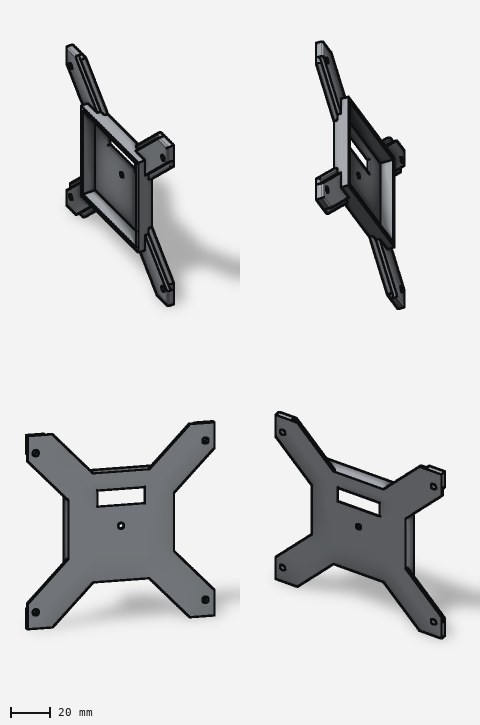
import cadquery as cq

span_x = 99.1
span_z = 99.2
depth = 8.0
arm_depth = depth / 2
flange_depth = arm_depth / 2
edge_radius = 1.0
tolerance = 0.01

tray_side = 56.0
wall = 2.0
floor_depth = 1.0
centre_hole_diameter = 3.0

window_width = 25.0
window_height = 8.1
window_z = 14.9

flange_flat = 13.1
web_flat = 9.3

mount_pitch_x = 90.1
mount_pitch_z = 81.7
mount_hole_diameter = 3.2
mount_centre_x = 0.3
mount_centre_z = -0.3

back_y = depth / 2
floor_front_y = back_y - floor_depth
CORNERS = [(1, 1), (-1, 1), (-1, -1), (1, -1)]


def front_plane(y):
    """XZ plane at the given Y facing the front."""
    return cq.Workplane(cq.Plane(origin=(0, y, 0), xDir=(1, 0, 0), normal=(0, -1, 0)))


def plate(sketch, thickness):
    """Extrude an outline from its plane towards the back."""
    return sketch.extrude(-thickness)


def arm_outline(y, flat, side_x, side_z):
    """Diagonal strip from the centre to one corner of the outer square."""
    tip_x, tip_z = span_x / 2, span_z / 2
    points = [
        (0, 0),
        (flat, 0),
        (tip_x, tip_z - flat),
        (tip_x, tip_z),
        (tip_x - flat, tip_z),
        (0, flat),
    ]
    return front_plane(y).polyline([(side_x * x, side_z * z) for x, z in points]).close()


def rounded_arm_layer(flat, thickness, side_x, side_z, round_sides):
    """One layer of an arm with its exposed front edges rounded."""
    front_y = back_y - thickness
    layer = plate(arm_outline(front_y, flat, side_x, side_z), thickness)

    def is_exposed(edge):
        centre = edge.Center()
        reach_x = centre.x * side_x
        reach_z = centre.z * side_z
        at_tip = max(reach_x - span_x / 2, reach_z - span_z / 2) > -tolerance
        on_side = abs(reach_x - reach_z) > flat / 2 and min(reach_x, reach_z) > flat / 2
        return at_tip or (round_sides and on_side)

    edges = [edge for edge in layer.faces("<Y").edges().vals() if is_exposed(edge)]
    return layer.newObject(edges).fillet(edge_radius)


def arm(side_x, side_z):
    """Thin round-edged flange joined to a narrower, thicker web rounded only at its tip."""
    flange = rounded_arm_layer(flange_flat, flange_depth, side_x, side_z, True)
    web = rounded_arm_layer(web_flat, arm_depth, side_x, side_z, False)
    return flange.union(web)


def window_cutter():
    """Rectangular opening that flares through a rounded lip at the floor's front."""
    opening = plate(front_plane(-back_y).center(0, window_z).rect(window_width, window_height), depth)
    mouth_width = window_width + 2 * edge_radius
    mouth_height = window_height + 2 * edge_radius
    mouth = plate(front_plane(floor_front_y).center(0, window_z).rect(mouth_width, mouth_height), edge_radius)
    lip_y = floor_front_y + edge_radius
    for side in (-1, 1):
        rod_x = side * mouth_width / 2
        upright = cq.Workplane("XY", origin=(rod_x, lip_y, window_z - mouth_height / 2))
        mouth = mouth.cut(upright.circle(edge_radius).extrude(mouth_height))
        rod_z = window_z + side * mouth_height / 2
        crossbar = cq.Workplane("YZ", origin=(-mouth_width / 2, lip_y, rod_z))
        mouth = mouth.cut(crossbar.circle(edge_radius).extrude(mouth_width))
    return opening.union(mouth)


body = plate(front_plane(-back_y).rect(tray_side, tray_side), depth)
for corner_x, corner_z in CORNERS:
    body = body.union(arm(corner_x, corner_z))

recess_side = tray_side - 2 * wall
recess = plate(front_plane(-back_y).rect(recess_side, recess_side), depth - floor_depth)
centre_hole = plate(front_plane(-back_y).circle(centre_hole_diameter / 2), depth)
mount_holes = plate(
    front_plane(-back_y)
    .center(mount_centre_x, mount_centre_z)
    .rect(mount_pitch_x, mount_pitch_z, forConstruction=True)
    .vertices()
    .circle(mount_hole_diameter / 2),
    depth,
)
result = body.cut(recess).cut(window_cutter()).cut(centre_hole).cut(mount_holes)